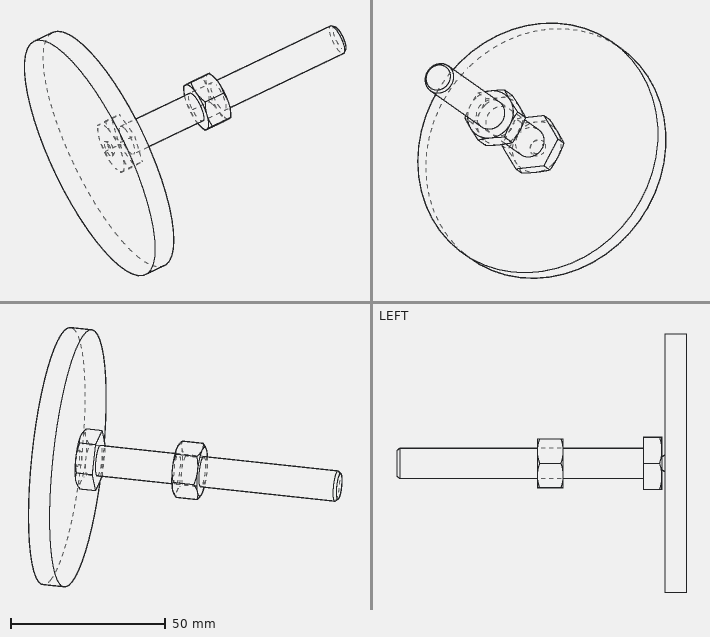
import cadquery as cq
import math

total_length = 94.0
foot_diameter = 84.0
foot_thickness = 7.05

rod_diameter = 10.0
tip_chamfer_length = 0.9
tip_chamfer_depth = 0.75

head_across_flats = 17.0
head_thickness = 6.0
head_start = 8.0
head_end = head_start + head_thickness

neck_foot_diameter = 5.45
neck_head_diameter = 4.3

nut_across_flats = 16.0
nut_thickness = 8.4
nut_start = 40.0

corner_chamfer_angle = math.radians(30)


def disc(diameter, start, end):
    """Cylinder on the Y axis between two Y positions."""
    return cq.Workplane("XZ", origin=(0, start, 0)).circle(diameter / 2).extrude(start - end)


def chamfered_hex(across_flats, start, thickness, chamfer_far_end):
    """Hexagonal prism on the Y axis, two corners along X, with conically turned corners."""
    across_corners = across_flats / math.cos(math.radians(30))
    flat_radius = across_flats / 2
    corner_radius = across_corners / 2
    chamfer_length = (corner_radius - flat_radius) * math.tan(corner_chamfer_angle)
    end = start + thickness

    prism = cq.Workplane("XZ", origin=(0, start, 0)).polygon(6, across_corners).extrude(-thickness)
    profile = (
        cq.Workplane("XY")
        .moveTo(0, start)
        .lineTo(flat_radius, start)
        .lineTo(corner_radius, start + chamfer_length)
    )
    if chamfer_far_end:
        profile = profile.lineTo(corner_radius, end - chamfer_length).lineTo(flat_radius, end)
    else:
        profile = profile.lineTo(corner_radius, end)
    envelope = profile.lineTo(0, end).close().revolve(360, (0, 0, 0), (0, 1, 0))
    return prism.intersect(envelope)


def make_foot():
    """Plain round foot plate."""
    return disc(foot_diameter, 0, foot_thickness)


def make_spindle():
    """Rod with a chamfered tip, a hexagonal head and a tapered neck resting on the foot."""
    neck_and_rod = (
        cq.Workplane("XY")
        .moveTo(0, foot_thickness)
        .lineTo(neck_foot_diameter / 2, foot_thickness)
        .lineTo(neck_head_diameter / 2, head_start)
        .lineTo(neck_head_diameter / 2, head_end)
        .lineTo(rod_diameter / 2, head_end)
        .lineTo(rod_diameter / 2, total_length - tip_chamfer_length)
        .lineTo(rod_diameter / 2 - tip_chamfer_depth, total_length)
        .lineTo(0, total_length)
        .close()
        .revolve(360, (0, 0, 0), (0, 1, 0))
    )
    head = chamfered_hex(head_across_flats, head_start, head_thickness, chamfer_far_end=False)
    return neck_and_rod.union(head)


def make_nut():
    """Hexagonal nut whose bore fits the rod, with both ends chamfered."""
    blank = chamfered_hex(nut_across_flats, nut_start, nut_thickness, chamfer_far_end=True)
    return blank.cut(disc(rod_diameter, nut_start, nut_start + nut_thickness))


foot = make_foot()
spindle = make_spindle()
nut = make_nut()

result = cq.Compound.makeCompound([foot.val(), spindle.val(), nut.val()])